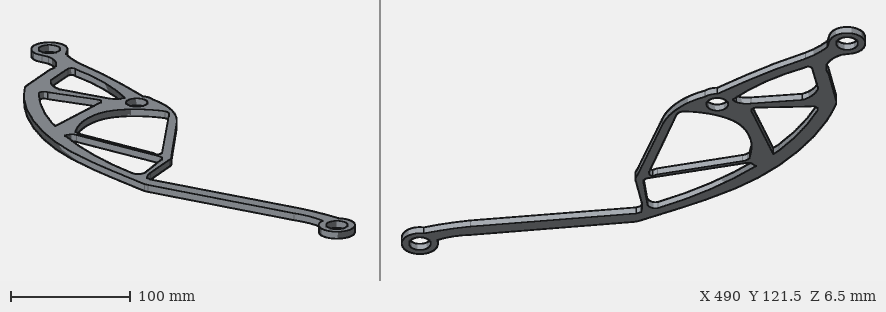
import cadquery as cq
import math

length = 490.0
thickness = 6.5
eye_diameter = 30.5
hole_diameter = 18.0
eye_radius = eye_diameter / 2
eye_spacing = length - eye_diameter
pivot_x = 139.5
eye_centers = [(0, 0), (pivot_x, 0), (eye_spacing, 0)]


def on_eye(center_x, angle):
    """Point on the rim of an eye, with the angle in degrees from +X."""
    turn = math.radians(angle)
    return (center_x + eye_radius * math.cos(turn), eye_radius * math.sin(turn))


def plate(outline):
    """Extrude a closed outline to the full plate thickness."""
    return outline.close().extrude(thickness)


def frame_body():
    """Solid outline of the truss and its long arm, reaching into both end eyes."""
    outline = (
        cq.Workplane("XY")
        .moveTo(0, 0)
        .lineTo(*on_eye(0, 50))
        .lineTo(16.0, 6.5)
        .threePointArc((24.5, 5.0), (41.0, 5.0))
        .spline([(70.0, 9.0), (98.0, 11.0), (131.5, 12.0)], includeCurrent=True)
        .lineTo(*on_eye(pivot_x, 115))
        .lineTo(*on_eye(pivot_x, 85))
        .spline([(157.5, 17.0), (173.5, 15.0), (194.0, 6.0)], includeCurrent=True)
        .lineTo(256.5, -37.5)
        .threePointArc((260.0, -40.0), (262.5, -43.5))
        .lineTo(279.5, -72.5)
        .threePointArc((282.5, -77.0), (287.0, -81.0))
        .lineTo(291.5, -80.0)
        .lineTo(411.0, -7.5)
        .threePointArc((427.5, 1.0), on_eye(eye_spacing, 142))
        .lineTo(eye_spacing, 0)
        .lineTo(*on_eye(eye_spacing, 200))
        .threePointArc((437.0, -7.5), (418.5, -17.0))
        .lineTo(301.0, -88.0)
        .lineTo(297.5, -89.5)
        .spline(
            [(235.0, -101.0), (189.5, -104.5), (154.5, -101.0), (128.0, -94.5), (90.5, -80.0), (64.0, -63.5)],
            includeCurrent=True,
        )
        .threePointArc((61.0, -61.0), (59.0, -58.0))
        .lineTo(39.0, -23.5)
        .spline([(34.0, -14.0), (28.0, -11.0), (14.0, -10.0)], includeCurrent=True)
        .lineTo(*on_eye(0, 290))
    )
    return plate(outline)


def eyes():
    return cq.Workplane("XY").pushPoints(eye_centers).circle(eye_radius).extrude(thickness)


def eye_holes():
    return cq.Workplane("XY").pushPoints(eye_centers).circle(hole_diameter / 2).extrude(thickness)


def upper_left_window():
    outline = (
        cq.Workplane("XY")
        .moveTo(49.5, -5.0)
        .threePointArc((92.0, 0.0), (125.5, -3.0))
        .lineTo(125.5, -7.5)
        .threePointArc((122.5, -12.2), (117.0, -16.5))
        .lineTo(80.5, -39.5)
        .threePointArc((68.5, -39.5), (60.0, -35.5))
        .lineTo(45.5, -10.0)
        .threePointArc((46.0, -6.0), (49.5, -5.0))
    )
    return plate(outline)


def lower_left_window():
    outline = (
        cq.Workplane("XY")
        .moveTo(117.0, -24.5)
        .threePointArc((121.0, -23.5), (124.0, -26.5))
        .lineTo(148.5, -85.5)
        .lineTo(141.5, -84.5)
        .threePointArc((114.0, -76.0), (80.5, -60.0))
        .threePointArc((78.0, -56.0), (81.5, -51.5))
        .lineTo(117.0, -24.5)
    )
    return plate(outline)


def upper_right_window():
    outline = (
        cq.Workplane("XY")
        .moveTo(168.5, 10.0)
        .threePointArc((172.5, 11.0), (175.5, 10.0))
        .lineTo(245.5, -40.0)
        .threePointArc((247.5, -43.5), (247.0, -46.5))
        .lineTo(242.5, -47.0)
        .lineTo(175.0, -77.0)
        .threePointArc((171.0, -78.0), (167.5, -77.5))
        .lineTo(161.5, -72.0)
        .spline([(148.5, -54.0), (143.5, -33.5), (149.0, -14.0), (168.5, 10.0)], includeCurrent=True)
    )
    return plate(outline)


def lower_right_window():
    outline = (
        cq.Workplane("XY")
        .moveTo(175.0, -81.0)
        .lineTo(252.0, -46.5)
        .threePointArc((256.5, -46.5), (259.5, -50.5))
        .lineTo(275.5, -74.5)
        .threePointArc((276.5, -81.5), (272.5, -85.5))
        .threePointArc((220.5, -91.5), (170.5, -89.5))
        .lineTo(171.0, -85.0)
        .threePointArc((172.5, -82.5), (175.0, -81.0))
    )
    return plate(outline)


result = frame_body().union(eyes())
for opening in (
    upper_left_window(),
    lower_left_window(),
    upper_right_window(),
    lower_right_window(),
    eye_holes(),
):
    result = result.cut(opening)